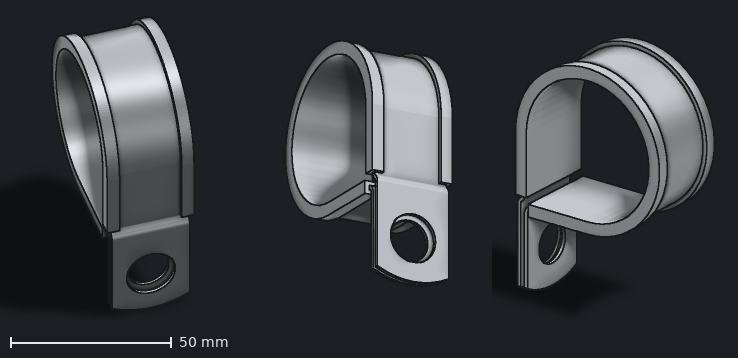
import cadquery as cq
import math


bore_radius = 23.81
cushion_floor = 1.49
cushion_width = 28.45
groove_width = 20.32
lip_height = 1.50
upright_end_z = -21.77

strap_thickness = 1.27
strap_width = 25.4
bend_inner_radius = 1.27
tab_overhang = 0.39
tab_gap = 1.524
tab_bottom_z = -56.35
tab_end_radius = 27.94
inner_tab_hole_diameter = 13.49
outer_tab_hole_diameter = 15.88
hole_z = -42.05

strap_inner_radius = bore_radius + cushion_floor
strap_outer_radius = strap_inner_radius + strap_thickness
lip_radius = strap_outer_radius + lip_height
bend_outer_radius = bend_inner_radius + strap_thickness
outer_tab_x = lip_radius + tab_overhang
inner_tab_x = outer_tab_x - strap_thickness - tab_gap
floor_end_x = inner_tab_x - bend_outer_radius


def polar(center, radius, degrees):
    """Point at an angle from +X, measured towards +Z."""
    angle = math.radians(degrees)
    return (center[0] + radius * math.cos(angle), center[1] + radius * math.sin(angle))


def extrude_centered(sketch, width):
    """Extrude an XZ outline by width, centred on Y = 0."""
    return sketch.extrude(width / 2, both=True)


def make_loop(inner_radius, outer_radius, width):
    """Three-quarter ring with a flat floor leg along +X and an upright leg along -Z."""
    origin = (0, 0)
    outline = (
        cq.Workplane("XZ")
        .moveTo(floor_end_x, -outer_radius)
        .lineTo(0, -outer_radius)
        .threePointArc(polar(origin, outer_radius, 135), (outer_radius, 0))
        .lineTo(outer_radius, upright_end_z)
        .lineTo(inner_radius, upright_end_z)
        .lineTo(inner_radius, 0)
        .threePointArc(polar(origin, inner_radius, 135), (0, -inner_radius))
        .lineTo(floor_end_x, -inner_radius)
        .close()
    )
    return extrude_centered(outline, width)


def make_inner_tab():
    """Tab that turns down from the floor leg through a quarter bend."""
    bend_center = (floor_end_x, -strap_inner_radius - bend_outer_radius)
    outline = (
        cq.Workplane("XZ")
        .moveTo(*polar(bend_center, bend_outer_radius, 90))
        .threePointArc(
            polar(bend_center, bend_outer_radius, 45), polar(bend_center, bend_outer_radius, 0)
        )
        .lineTo(inner_tab_x, tab_bottom_z)
        .lineTo(inner_tab_x - strap_thickness, tab_bottom_z)
        .lineTo(*polar(bend_center, bend_inner_radius, 0))
        .threePointArc(
            polar(bend_center, bend_inner_radius, 45), polar(bend_center, bend_inner_radius, 90)
        )
        .close()
    )
    return extrude_centered(outline, strap_width)


def make_outer_tab():
    """Tab that continues the upright leg, stepped outwards by two opposite bends."""
    slope = 45
    upper_center = (strap_outer_radius + bend_inner_radius, upright_end_z)
    lower_x = outer_tab_x - bend_outer_radius
    center_dx = upper_center[0] - lower_x
    radius_sum = bend_inner_radius + bend_outer_radius
    slope_angle = math.radians(slope)
    center_dz = (radius_sum - center_dx * math.cos(slope_angle)) / math.sin(slope_angle)
    lower_center = (lower_x, upright_end_z - center_dz)

    outline = (
        cq.Workplane("XZ")
        .moveTo(*polar(upper_center, bend_inner_radius, 180))
        .threePointArc(
            polar(upper_center, bend_inner_radius, 180 + slope / 2),
            polar(upper_center, bend_inner_radius, 180 + slope),
        )
        .lineTo(*polar(lower_center, bend_outer_radius, slope))
        .threePointArc(
            polar(lower_center, bend_outer_radius, slope / 2),
            polar(lower_center, bend_outer_radius, 0),
        )
        .lineTo(outer_tab_x, tab_bottom_z)
        .lineTo(outer_tab_x - strap_thickness, tab_bottom_z)
        .lineTo(*polar(lower_center, bend_inner_radius, 0))
        .threePointArc(
            polar(lower_center, bend_inner_radius, slope / 2),
            polar(lower_center, bend_inner_radius, slope),
        )
        .lineTo(*polar(upper_center, bend_outer_radius, 180 + slope))
        .threePointArc(
            polar(upper_center, bend_outer_radius, 180 + slope / 2),
            polar(upper_center, bend_outer_radius, 180),
        )
        .close()
    )
    return extrude_centered(outline, strap_width)


def make_tab_face(hole_diameter):
    """Tab shape seen along X: rounded lower end, square upper end and a bolt hole."""
    half_width = strap_width / 2
    end_rise = tab_end_radius - math.sqrt(tab_end_radius**2 - half_width**2)
    corner_z = tab_bottom_z + end_rise
    plate = (
        cq.Workplane("YZ")
        .moveTo(-half_width, 0)
        .lineTo(-half_width, corner_z)
        .threePointArc((0, tab_bottom_z), (half_width, corner_z))
        .lineTo(half_width, 0)
        .close()
        .extrude(outer_tab_x)
    )
    hole = cq.Workplane("YZ").center(0, hole_z).circle(hole_diameter / 2).extrude(outer_tab_x)
    return plate.cut(hole)


def make_cushioned_loop():
    """Loop with two raised lips, leaving the strap surface as the groove floor."""
    body = make_loop(bore_radius, strap_outer_radius, cushion_width)
    lip_width = (cushion_width - groove_width) / 2
    lip = make_loop(bore_radius, lip_radius, lip_width)
    lip_offset = (groove_width + lip_width) / 2
    for side in (-1, 1):
        body = body.union(lip.translate((0, side * lip_offset, 0)))
    return body


inner_tab = make_inner_tab().intersect(make_tab_face(inner_tab_hole_diameter))
outer_tab = make_outer_tab().intersect(make_tab_face(outer_tab_hole_diameter))
result = make_cushioned_loop().union(inner_tab).union(outer_tab)